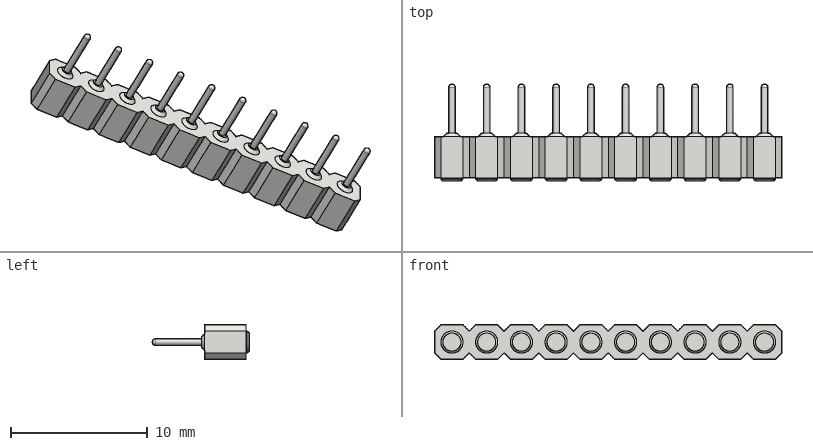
import cadquery as cq
import math

socket_count = 10
pitch = 2.54
corner_chamfer = 0.47

overall_length = 7.1
body_length = 3.03
collar_rim_height = 0.08
collar_chamfer = 0.15
collar_height = collar_rim_height + collar_chamfer
shoulder_height = 0.25
pin_length = overall_length - collar_height - body_length

collar_radius = 0.81
shoulder_radius = 0.38
pin_radius = 0.25

body_back = body_length
pin_end = body_back + pin_length


def make_housing():
    """Square block with its four long edges chamfered."""
    return (
        cq.Workplane("XY")
        .box(pitch, body_length, pitch, centered=(True, False, True))
        .edges("|Y")
        .chamfer(corner_chamfer)
    )


def make_contact():
    """Turned contact: chamfered collar in front, conical shoulder and round-tipped pin behind."""
    shoulder_end = body_back + shoulder_height
    tip_start = pin_end - pin_radius
    tip_middle_offset = pin_radius * math.sqrt(0.5)
    profile = (
        cq.Workplane("XY")
        .moveTo(0, -collar_height)
        .lineTo(collar_radius - collar_chamfer, -collar_height)
        .lineTo(collar_radius, -collar_rim_height)
        .lineTo(collar_radius, 0)
        .lineTo(shoulder_radius + shoulder_height, body_back)
        .lineTo(shoulder_radius, shoulder_end)
        .lineTo(pin_radius, shoulder_end)
        .lineTo(pin_radius, tip_start)
        .threePointArc((tip_middle_offset, tip_start + tip_middle_offset), (0, pin_end))
        .close()
    )
    return profile.revolve(360, (0, 0, 0), (0, 1, 0))


def make_strip():
    """Row of sockets centred on X = 0, joined along their flat sides."""
    socket = make_housing().union(make_contact())
    first_x = -(socket_count - 1) * pitch / 2
    strip = socket.translate((first_x, 0, 0))
    for index in range(1, socket_count):
        strip = strip.union(socket.translate((first_x + index * pitch, 0, 0)))
    return strip.clean()


result = make_strip()